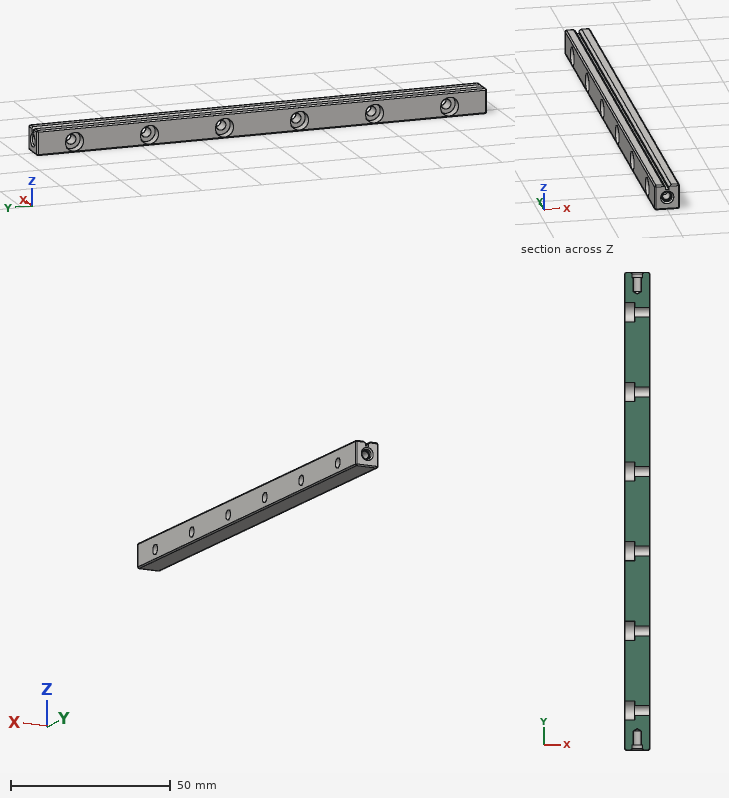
import cadquery as cq
import math

width = 8.0
length = 150.0
height = 8.2
edge_chamfer = 0.45

mouth_width = 2.6
slot_width = 1.0
flare_depth = (mouth_width - slot_width) / 2
groove_depth = 1.5

hole_count = 6
hole_pitch = 25.0
hole_height = 3.5
screw_diameter = 3.2
head_diameter = 6.0
head_depth = 3.2

core_diameter = 2.46
relief_diameter = 3.2
end_mouth_diameter = 4.2
relief_depth = 1.6
core_depth = 6.0
drill_point_angle = 118.0
countersink_depth = (end_mouth_diameter - relief_diameter) / 2


def make_bar():
    """Rectangular bar standing on Z = 0, with every outer edge chamfered."""
    bar = cq.Workplane("XY").box(width, length, height, centered=(True, True, False))
    return bar.edges().chamfer(edge_chamfer)


def make_groove():
    """Groove profile swept over the full length of the bar."""
    flare_bottom = height - flare_depth
    floor = height - groove_depth
    return (
        cq.Workplane("XZ")
        .moveTo(-mouth_width / 2, height)
        .lineTo(-slot_width / 2, flare_bottom)
        .lineTo(-slot_width / 2, floor)
        .lineTo(slot_width / 2, floor)
        .lineTo(slot_width / 2, flare_bottom)
        .lineTo(mouth_width / 2, height)
        .close()
        .extrude(length / 2, both=True)
    )


def make_screw_hole(y):
    """Through hole along X, counterbored from the -X side."""
    side = cq.Workplane("YZ", origin=(-width / 2, y, hole_height))
    shank = side.circle(screw_diameter / 2).extrude(width)
    head = side.circle(head_diameter / 2).extrude(head_depth)
    return shank.union(head)


def make_end_hole():
    """Stepped, countersunk blind hole entering the -Y end along its axis."""
    core_radius = core_diameter / 2
    relief_radius = relief_diameter / 2
    point_length = core_radius / math.tan(math.radians(drill_point_angle / 2))
    profile = (
        cq.Workplane("XY", origin=(0, -length / 2, height / 2))
        .lineTo(end_mouth_diameter / 2, 0)
        .lineTo(relief_radius, countersink_depth)
        .lineTo(relief_radius, relief_depth)
        .lineTo(core_radius, relief_depth)
        .lineTo(core_radius, core_depth)
        .lineTo(0, core_depth + point_length)
        .close()
    )
    return profile.revolve(360, (0, 0, 0), (0, 1, 0))


result = make_bar().cut(make_groove())

for index in range(hole_count):
    hole_y = (index - (hole_count - 1) / 2) * hole_pitch
    result = result.cut(make_screw_hole(hole_y))

front_hole = make_end_hole()
result = result.cut(front_hole).cut(front_hole.mirror("XZ"))